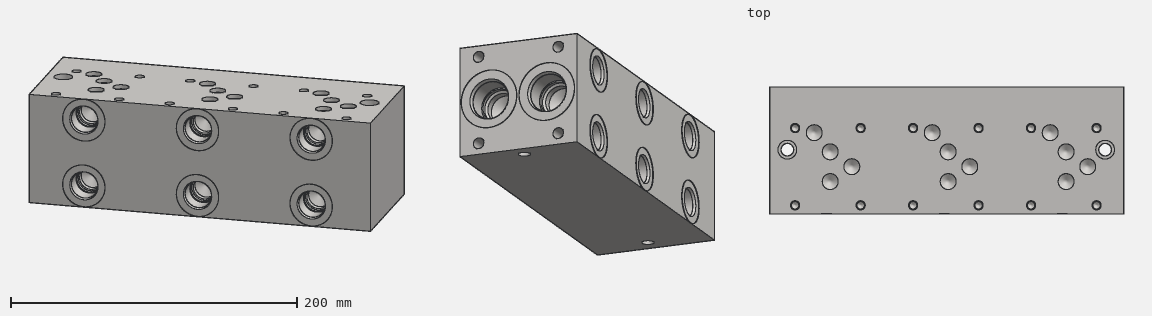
import cadquery as cq
import math

LENGTH = 247.6
WIDTH = 89.0
HEIGHT = 79.5

STATION_COUNT = 3
STATION_PITCH = 82.5

BOLT_X = 17.8
BOLT_REAR_Y = 60.2
BOLT_SPAN_X = 45.8
BOLT_SPAN_Y = 54.0
BOLT_THREAD_DIA = 6.5
BOLT_DRILL_DIA = 5.2
BOLT_THREAD_DEPTH = 12.5
BOLT_DRILL_DEPTH = 14.9

PORT_OFFSETS = [(13.4, 3.2), (24.5, 16.5), (39.6, 27.0), (24.5, 37.5)]
PORT_DIA = 11.1
PORT_DEPTH = 3.0

MOUNT_X = 12.5
MOUNT_SPAN_X = 222.1
MOUNT_Y = 45.0
MOUNT_DIA = 8.7
MOUNT_HEAD_DIA = 13.1
MOUNT_HEAD_DEPTH = 19.8

OUTLET_X = 39.6
OUTLET_SPACING_Z = 48.3
OUTLET_SPOTFACE_DIA = 30.7
OUTLET_SEAT_DIA = 20.5
OUTLET_SEAT_END_DIA = 19.3
OUTLET_THREAD_DIA = 19.0
OUTLET_MINOR_DIA = 17.5
OUTLET_DRILL_DIA = 15.8
OUTLET_SEAT_DEPTH = 2.5
OUTLET_THREAD_DEPTH = 14.4
OUTLET_MINOR_DEPTH = 17.3
OUTLET_DRILL_DEPTH = 22.3

MAIN_FRONT_Y = 23.0
MAIN_SPACING_Y = 43.8
MAIN_SPOTFACE_DIA = 42.0
MAIN_SEAT_DIA = 29.2
MAIN_SEAT_END_DIA = 27.5
MAIN_THREAD_DIA = 27.0
MAIN_MINOR_DIA = 25.0
MAIN_DRILL_DIA = 21.3
MAIN_SEAT_DEPTH = 3.7
MAIN_THREAD_DEPTH = 19.0
MAIN_MINOR_DEPTH = 22.3
MAIN_DRILL_DEPTH = 29.7

SPOTFACE_DEPTH = 0.5

FLANGE_SPAN_Y = 60.5
FLANGE_SPAN_Z = 63.5
FLANGE_THREAD_DIA = 8.0
FLANGE_DRILL_DIA = 6.5
FLANGE_THREAD_DEPTH = 14.9
FLANGE_DRILL_DEPTH = 18.5

DRILL_POINT_ANGLE = 118.0

DOWN = cq.Vector(0, 0, -1)
INTO_FRONT = cq.Vector(0, 1, 0)
INTO_LEFT = cq.Vector(1, 0, 0)


def drill_cone_length(start_dia, end_dia=0.0):
    """Length of the drill-point cone that narrows from one diameter to another."""
    return (start_dia - end_dia) / 2 / math.tan(math.radians(DRILL_POINT_ANGLE / 2))


def hole_tool(profile):
    """Revolved blind hole with its mouth at the origin, running along +Z.

    The profile lists (diameter, depth) corners from mouth to bottom; a drill point closes it.
    """
    last_dia, last_depth = profile[-1]
    corners = [(diameter / 2, depth) for diameter, depth in profile]
    corners.append((0, last_depth + drill_cone_length(last_dia)))
    outline = cq.Workplane("XZ").moveTo(0, 0).polyline(corners, includeCurrent=True).close()
    return outline.revolve(360, (0, 0, 0), (0, 1, 0)).val()


def tapped_tool(thread_dia, thread_depth, drill_dia, drill_depth):
    """Blind tapped hole: a wider threaded length with the tap drill running past it."""
    return hole_tool([
        (thread_dia, 0),
        (thread_dia, thread_depth),
        (drill_dia, thread_depth),
        (drill_dia, drill_depth),
    ])


def threaded_port_tool(spotface_dia, seat, thread, minor, drill):
    """Blind threaded port: shallow spotface, conical seal seat, thread, minor bore and drilling.

    The seat is (mouth diameter, end diameter, depth); the others are (diameter, depth).
    """
    seat_dia, seat_end_dia, seat_depth = seat
    thread_dia, thread_depth = thread
    minor_dia, minor_depth = minor
    drill_dia, drill_depth = drill
    return hole_tool([
        (spotface_dia, 0),
        (spotface_dia, SPOTFACE_DEPTH),
        (seat_dia, SPOTFACE_DEPTH),
        (seat_end_dia, seat_depth),
        (thread_dia, seat_depth),
        (thread_dia, thread_depth),
        (minor_dia, thread_depth),
        (minor_dia, minor_depth),
        (drill_dia, minor_depth + drill_cone_length(minor_dia, drill_dia)),
        (drill_dia, drill_depth),
    ])


def cut_holes(body, tool, mouths, direction):
    """Cut the hole at every mouth point, running in the given direction."""
    for mouth in mouths:
        body = body.cut(cq.Workplane(tool.moved(cq.Plane(mouth, normal=direction).location)))
    return body


def centred_pair(middle, span):
    """Two positions a span apart, equally far from the middle."""
    return (middle - span / 2, middle + span / 2)


station_shifts = [station * STATION_PITCH for station in range(STATION_COUNT)]

body = cq.Workplane("XY").box(LENGTH, WIDTH, HEIGHT, centered=False)

bolt_tool = tapped_tool(
    BOLT_THREAD_DIA, BOLT_THREAD_DEPTH, BOLT_DRILL_DIA, BOLT_DRILL_DEPTH
)
bolt_mouths = [
    (BOLT_X + shift + dx, BOLT_REAR_Y - dy, HEIGHT)
    for shift in station_shifts
    for dx in (0, BOLT_SPAN_X)
    for dy in (0, BOLT_SPAN_Y)
]
body = cut_holes(body, bolt_tool, bolt_mouths, DOWN)

valve_port_tool = hole_tool([(PORT_DIA, 0), (PORT_DIA, PORT_DEPTH)])
valve_port_mouths = [
    (BOLT_X + shift + dx, BOLT_REAR_Y - dy, HEIGHT)
    for shift in station_shifts
    for dx, dy in PORT_OFFSETS
]
body = cut_holes(body, valve_port_tool, valve_port_mouths, DOWN)

body = (
    body.faces(">Z").workplane(origin=(0, 0, HEIGHT))
    .pushPoints([(MOUNT_X, MOUNT_Y), (MOUNT_X + MOUNT_SPAN_X, MOUNT_Y)])
    .cboreHole(MOUNT_DIA, MOUNT_HEAD_DIA, MOUNT_HEAD_DEPTH)
)

outlet_tool = threaded_port_tool(
    OUTLET_SPOTFACE_DIA,
    (OUTLET_SEAT_DIA, OUTLET_SEAT_END_DIA, OUTLET_SEAT_DEPTH),
    (OUTLET_THREAD_DIA, OUTLET_THREAD_DEPTH),
    (OUTLET_MINOR_DIA, OUTLET_MINOR_DEPTH),
    (OUTLET_DRILL_DIA, OUTLET_DRILL_DEPTH),
)
outlet_mouths = [
    (OUTLET_X + shift, 0, z)
    for shift in station_shifts
    for z in centred_pair(HEIGHT / 2, OUTLET_SPACING_Z)
]
body = cut_holes(body, outlet_tool, outlet_mouths, INTO_FRONT)

main_tool = threaded_port_tool(
    MAIN_SPOTFACE_DIA,
    (MAIN_SEAT_DIA, MAIN_SEAT_END_DIA, MAIN_SEAT_DEPTH),
    (MAIN_THREAD_DIA, MAIN_THREAD_DEPTH),
    (MAIN_MINOR_DIA, MAIN_MINOR_DEPTH),
    (MAIN_DRILL_DIA, MAIN_DRILL_DEPTH),
)
main_mouths = [(0, MAIN_FRONT_Y + dy, HEIGHT / 2) for dy in (0, MAIN_SPACING_Y)]
body = cut_holes(body, main_tool, main_mouths, INTO_LEFT)

flange_tool = tapped_tool(
    FLANGE_THREAD_DIA, FLANGE_THREAD_DEPTH, FLANGE_DRILL_DIA, FLANGE_DRILL_DEPTH
)
flange_mouths = [
    (0, y, z)
    for y in centred_pair(WIDTH / 2, FLANGE_SPAN_Y)
    for z in centred_pair(HEIGHT / 2, FLANGE_SPAN_Z)
]
body = cut_holes(body, flange_tool, flange_mouths, INTO_LEFT)

result = body